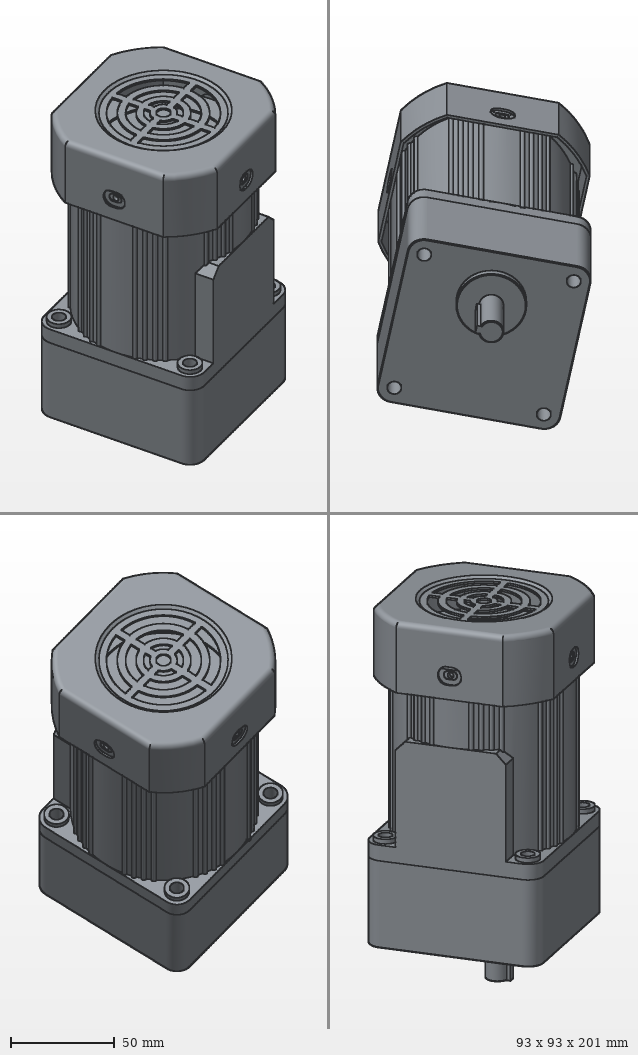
import cadquery as cq

gearbox_bottom = 32.0
flange_bottom = 76.8
flange_top = 84.8
cover_bottom = 164.8
motor_top = 179.7
cover_top = 201.0

frame_width = 90.0
frame_corner_radius = 8.0
bolt_offset = 36.8
bolt_hole_diameter = 6.8
edge_chamfer = 0.5

shaft_offset = -18.0
shaft_diameter = 11.9
boss_diameter = 34.0
boss_height = 4.0
key_width = 4.0
key_top = 25.0
key_reach = 7.5

barrel_radius = frame_width / 2
rib_height = 1.0
rib_radius = 1.2
rib_pitch_angle = 6.3
ribs_per_group = 4
rib_groups = 8
end_recess_radius = 33.0
end_recess_depth = 1.0
washer_diameter = 12.0
washer_height = 2.5
notch_y = -10.0
notch_radius = 1.2
notch_length = 1.6
terminal_width = 57.0
terminal_top = 139.7
terminal_chamfer = 5.0
terminal_inner_x = 24.1

cover_width = 93.0
cover_corner_radius = 54.0
cover_wall = (cover_width - frame_width) / 2
cover_edge_radius = 3.0
dish_top_radius = 33.0
dish_floor_radius = 31.2
dish_depth = 1.2
grille_thickness = 1.0
grille_hub_radius = 3.6
grille_spoke_width = 4.0
grille_rings = [(6.6, 9.6), (13.3, 18.3), (22.3, 27.5)]

screw_height = 176.9
screw_recess_length = 12.0
screw_recess_width = 9.5
screw_recess_depth = 1.2
screw_slot_length = 6.8
screw_slot_width = 4.2
screw_hole_diameter = 3.0
screw_hole_depth = 4.0
side_angles = [0, 90, 180, 270]


def cylinder(radius, bottom, top, x=0.0, y=0.0):
    return cq.Workplane("XY", origin=(x, y, bottom)).circle(radius).extrude(top - bottom)


def frame_block(bottom, top):
    """Square block with rounded vertical corners."""
    block = cq.Workplane("XY", origin=(0, 0, bottom)).rect(frame_width, frame_width).extrude(top - bottom)
    return block.edges("|Z").fillet(frame_corner_radius)


def at_bolts(diameter, bottom, top):
    """Four upright cylinders on the bolt pattern."""
    spacing = 2 * bolt_offset
    pattern = cq.Workplane("XY", origin=(0, 0, bottom)).rect(spacing, spacing, forConstruction=True)
    return pattern.vertices().circle(diameter / 2).extrude(top - bottom)


def make_shaft():
    """Shaft with a key on its +Y side, rounded at the upper end of the key."""
    shaft = cylinder(shaft_diameter / 2, 0, gearbox_bottom, x=shaft_offset)
    shaft = shaft.faces("<Z").chamfer(edge_chamfer)
    key_end_radius = key_width / 2
    key_straight = key_top - key_end_radius
    key = (
        cq.Workplane("XZ", origin=(shaft_offset, 0, 0))
        .moveTo(-key_end_radius, 0)
        .lineTo(key_end_radius, 0)
        .lineTo(key_end_radius, key_straight)
        .threePointArc((0, key_top), (-key_end_radius, key_straight))
        .close()
        .extrude(-key_reach)
    )
    return shaft.union(key)


def make_gearbox():
    box = frame_block(gearbox_bottom, flange_bottom).faces("<Z").chamfer(edge_chamfer)
    boss = cylinder(boss_diameter / 2, gearbox_bottom - boss_height, gearbox_bottom, x=shaft_offset)
    boss = boss.faces("<Z").chamfer(edge_chamfer)
    box = box.union(boss).union(make_shaft())
    return box.cut(at_bolts(bolt_hole_diameter, gearbox_bottom, flange_bottom))


def make_flange():
    """Square flange with a small half-round notch in the upper edge of its -X side."""
    notch = cq.Workplane("YZ", origin=(-frame_width / 2, notch_y, flange_top))
    notch = notch.circle(notch_radius).extrude(notch_length)
    return frame_block(flange_bottom, flange_top).cut(notch)


def make_barrel():
    """Round barrel with groups of round ribs between eight smooth lands and a shallow recess in its end."""
    barrel = cylinder(barrel_radius, flange_top, motor_top)
    rib_axis = barrel_radius + rib_height - rib_radius
    rib = cylinder(rib_radius, flange_top, motor_top, x=rib_axis)
    group_step = 360 / rib_groups
    middle = (ribs_per_group - 1) / 2
    for group in range(rib_groups):
        for index in range(ribs_per_group):
            angle = (group + 0.5) * group_step + (index - middle) * rib_pitch_angle
            barrel = barrel.union(rib.rotate((0, 0, 0), (0, 0, 1), angle))
    return barrel.cut(cylinder(end_recess_radius, motor_top - end_recess_depth, motor_top))


def make_terminal_box():
    """Block on the +X side of the barrel, chamfered along the two ends of its top."""
    length = barrel_radius - terminal_inner_x
    box = cq.Workplane("XY", origin=(terminal_inner_x + length / 2, 0, flange_top))
    box = box.rect(length, terminal_width).extrude(terminal_top - flange_top)
    return box.faces(">Z").edges("|X").chamfer(terminal_chamfer)


def screw_holes():
    """Blind holes with a conical tip, one in the middle of each side of the barrel."""
    radius = screw_hole_diameter / 2
    hole = (
        cq.Workplane("XY")
        .polyline([
            (barrel_radius, 0),
            (barrel_radius, radius),
            (barrel_radius - screw_hole_depth + radius, radius),
            (barrel_radius - screw_hole_depth, 0),
        ])
        .close()
        .revolve(360, (0, 0, 0), (1, 0, 0))
        .translate((0, 0, screw_height))
    )
    return [hole.rotate((0, 0, 0), (0, 0, 1), angle) for angle in side_angles]


def make_motor():
    motor = make_flange().union(make_barrel()).union(make_terminal_box())
    motor = motor.union(at_bolts(washer_diameter, flange_top, flange_top + washer_height))
    motor = motor.cut(at_bolts(bolt_hole_diameter, flange_bottom, flange_top + washer_height))
    for hole in screw_holes():
        motor = motor.cut(hole)
    return motor


def cover_block(inset, top):
    """Square block with its corners cut off by a cylinder about the motor axis."""
    width = cover_width - 2 * inset
    height = top - cover_bottom
    block = cq.Workplane("XY", origin=(0, 0, cover_bottom)).rect(width, width).extrude(height)
    return block.intersect(cylinder(cover_corner_radius - inset, cover_bottom, top))


def make_grille(bottom, top):
    """Ring slots interrupted by a cross of spokes, with a hole in the hub."""
    slots = cylinder(grille_hub_radius, bottom, top)
    spoke_length = 2 * dish_floor_radius
    cross_plane = cq.Workplane("XY", origin=(0, 0, bottom))
    cross = cross_plane.rect(spoke_length, grille_spoke_width).extrude(top - bottom)
    cross = cross.union(cross_plane.rect(grille_spoke_width, spoke_length).extrude(top - bottom))
    for inner_radius, outer_radius in grille_rings:
        ring = cylinder(outer_radius, bottom, top).cut(cylinder(inner_radius, bottom, top))
        slots = slots.union(ring.cut(cross))
    return slots


def screw_points():
    """Slotted recesses, one in the middle of each side of the cover."""
    face = cq.Workplane("YZ", origin=(cover_width / 2, 0, screw_height))
    recess = face.slot2D(screw_recess_length, screw_recess_width).extrude(-screw_recess_depth)
    slot = face.slot2D(screw_slot_length, screw_slot_width).extrude(-cover_wall)
    point = recess.union(slot)
    return [point.rotate((0, 0, 0), (0, 0, 1), angle) for angle in side_angles]


def make_cover():
    dish_floor = cover_top - dish_depth
    ceiling = dish_floor - grille_thickness
    cover = cover_block(0, cover_top).faces(">Z").edges().fillet(cover_edge_radius)
    cover = cover.cut(cover_block(cover_wall, ceiling))
    dish = cq.Workplane("XY", origin=(0, 0, dish_floor)).circle(dish_floor_radius)
    dish = dish.workplane(offset=dish_depth).circle(dish_top_radius).loft()
    cover = cover.cut(dish).cut(make_grille(ceiling, dish_floor))
    for point in screw_points():
        cover = cover.cut(point)
    return cover


gearbox = make_gearbox().solids()
motor = make_motor().solids()
cover = make_cover().solids()
result = cq.Compound.makeCompound([gearbox.val(), motor.val(), cover.val()])